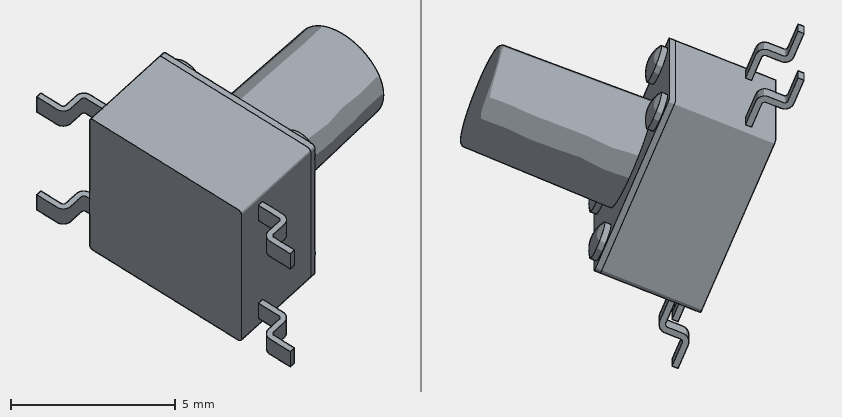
import cadquery as cq
import math


body_side = 6.0
corner_radius = 0.15
standoff = 0.1
body_height = 3.5
cover_thickness = 0.2
cover_top = standoff + body_height
cover_bottom = cover_top - cover_thickness

rivet_radius = 0.6
rivet_rim_height = 0.2
rivet_height = 0.4
corner_offset = 2.25

button_radius = 1.75
button_height = 5.0
button_draft = 1.0
button_edge_radius = 0.15

lead_span = 10.0
lead_width = 0.7
lead_thickness = 0.2
lead_height = 1.1
lead_riser_x = 4.1
inner_bend_radius = 0.1
outer_bend_radius = inner_bend_radius + lead_thickness


def square_block(bottom, top):
    """Square block with rounded corners, between two Y levels."""
    return (
        cq.Workplane("XY")
        .box(body_side, top - bottom, body_side)
        .edges("|Y")
        .fillet(corner_radius)
        .translate((0, (bottom + top) / 2, 0))
    )


def revolve_about_y(half_profile):
    """Full turn of a closed half profile about the Y axis."""
    return half_profile.close().revolve(360, (0, 0, 0), (0, 1, 0))


def make_rivet_head():
    """Short cylinder with a spherical cap, standing on Y = 0."""
    cap_height = rivet_height - rivet_rim_height
    sphere_radius = (rivet_radius**2 + cap_height**2) / (2 * cap_height)
    half_angle = math.asin(rivet_radius / sphere_radius) / 2
    sphere_center_y = rivet_height - sphere_radius
    arc_middle = (
        sphere_radius * math.sin(half_angle),
        sphere_center_y + sphere_radius * math.cos(half_angle),
    )
    return revolve_about_y(
        cq.Workplane("XY")
        .lineTo(rivet_radius, 0)
        .lineTo(rivet_radius, rivet_rim_height)
        .threePointArc(arc_middle, (0, rivet_height))
    )


def make_cover():
    """Cover plate with a rivet head near each corner."""
    cover = square_block(cover_bottom, cover_top)
    rivet_head = make_rivet_head()
    for x in (-corner_offset, corner_offset):
        for z in (-corner_offset, corner_offset):
            cover = cover.union(rivet_head.translate((x, cover_top, z)))
    return cover


def make_button():
    """Tapered round button with a rounded outer rim, standing on the cover."""
    tip_radius = button_radius - button_height * math.tan(math.radians(button_draft))
    button = revolve_about_y(
        cq.Workplane("XY")
        .lineTo(button_radius, 0)
        .lineTo(tip_radius, button_height)
        .lineTo(0, button_height)
    )
    return button.faces(">Y").edges().fillet(button_edge_radius).translate((0, cover_top, 0))


def make_lead():
    """Gull-wing lead on the +X side, centred on Z = 0."""
    riser_inner_x = lead_riser_x - lead_thickness
    arm_bottom = lead_height - lead_thickness
    lead = (
        cq.Workplane("XY")
        .moveTo(body_side / 2, arm_bottom)
        .lineTo(riser_inner_x, arm_bottom)
        .lineTo(riser_inner_x, 0)
        .lineTo(lead_span / 2, 0)
        .lineTo(lead_span / 2, lead_thickness)
        .lineTo(lead_riser_x, lead_thickness)
        .lineTo(lead_riser_x, lead_height)
        .lineTo(body_side / 2, lead_height)
        .close()
        .extrude(lead_width / 2, both=True)
    )
    outer_bends = (
        cq.selectors.NearestToPointSelector((lead_riser_x, lead_height, 0)),
        cq.selectors.NearestToPointSelector((riser_inner_x, 0, 0)),
    )
    inner_bends = (
        cq.selectors.NearestToPointSelector((riser_inner_x, arm_bottom, 0)),
        cq.selectors.NearestToPointSelector((lead_riser_x, lead_thickness, 0)),
    )
    for bend in outer_bends:
        lead = lead.edges("|Z").edges(bend).fillet(outer_bend_radius)
    for bend in inner_bends:
        lead = lead.edges("|Z").edges(bend).fillet(inner_bend_radius)
    return lead


def make_leads():
    """Four leads, two on each X side."""
    right_lead = make_lead()
    left_lead = right_lead.mirror("YZ")
    leads = []
    for lead in (left_lead, right_lead):
        for z in (-corner_offset, corner_offset):
            leads.append(lead.translate((0, 0, z)).val())
    return leads


housing = square_block(standoff, cover_bottom)
cover = make_cover()
button = make_button()
leads = make_leads()

result = cq.Compound.makeCompound([housing.val(), cover.val(), button.val(), *leads])